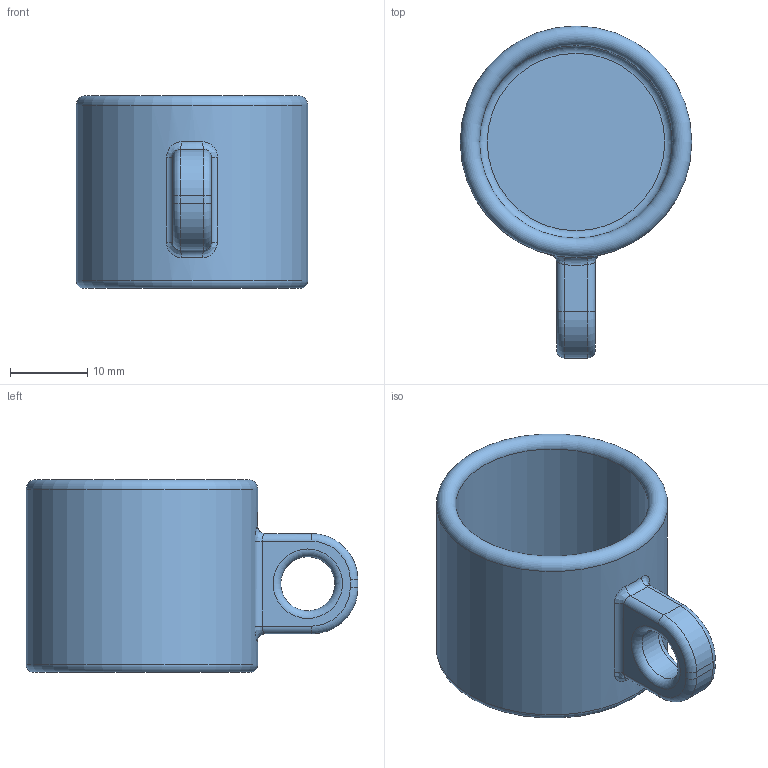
import cadquery as cq


cup_outer_diameter = 30.0
cup_inner_diameter = 25.0
cup_height = 25.0
wall_thickness = (cup_outer_diameter - cup_inner_diameter) / 2
floor_thickness = wall_thickness
base_radius = 1.0
floor_radius = 1.0
rim_radius = wall_thickness / 2

handle_tip_y = -28.0
handle_thickness = 5.0
handle_height = 13.0
handle_center_z = 11.5
handle_corner_radius = 6.0
handle_edge_radius = 1.0
handle_root_radius = 1.0
seam_margin = 1.0
hole_diameter = 7.0
hole_center_y = -21.5

cup_outer_radius = cup_outer_diameter / 2
cup_inner_radius = cup_inner_diameter / 2


def make_cup_blank():
    """Solid cylinder with a rounded bottom edge."""
    blank = cq.Workplane("XY").circle(cup_outer_radius).extrude(cup_height)
    return blank.faces("<Z").edges().fillet(base_radius)


def make_handle():
    """Upright plate reaching from the cup axis to the tip, with a rounded hole through X."""
    handle_length = -handle_tip_y
    plate = (
        cq.Workplane("XY")
        .box(handle_thickness, handle_length, handle_height)
        .translate((0, handle_tip_y / 2, handle_center_z))
        .edges("|X and <Y")
        .fillet(handle_corner_radius)
    )
    hole = (
        cq.Workplane("YZ")
        .center(hole_center_y, handle_center_z)
        .circle(hole_diameter / 2)
        .extrude(handle_thickness, both=True)
    )
    return plate.cut(hole).faces("<X or >X").edges().fillet(handle_edge_radius)


def round_handle_root(body):
    """Blend the handle into the cup along the whole seam between them."""
    half_width = handle_thickness / 2 + seam_margin
    half_height = handle_height / 2 + seam_margin
    seam = cq.selectors.BoxSelector(
        (-half_width, -cup_outer_radius - seam_margin, handle_center_z - half_height),
        (half_width, -cup_outer_radius + seam_margin, handle_center_z + half_height),
        boundingbox=True,
    )
    return body.edges(seam).fillet(handle_root_radius)


def make_cavity():
    """Inside of the cup: a straight bore with a rounded floor edge, open at the top."""
    bore = (
        cq.Workplane("XY")
        .workplane(offset=floor_thickness)
        .circle(cup_inner_radius)
        .extrude(cup_height - floor_thickness)
    )
    return bore.faces("<Z").edges().fillet(floor_radius)


def round_rim(body):
    """Cut the square top off the wall and set a torus there, leaving a half round rim."""
    rim_start_z = cup_height - rim_radius
    rim_path_radius = cup_inner_radius + rim_radius
    square_top = (
        cq.Workplane("XY")
        .workplane(offset=rim_start_z)
        .circle(cup_outer_radius)
        .extrude(rim_radius)
    )
    rim = cq.Solid.makeTorus(rim_path_radius, rim_radius, cq.Vector(0, 0, rim_start_z))
    return body.cut(square_top).union(cq.Workplane(rim))


result = round_handle_root(make_cup_blank().union(make_handle()))
result = result.cut(make_cavity())
result = round_rim(result)